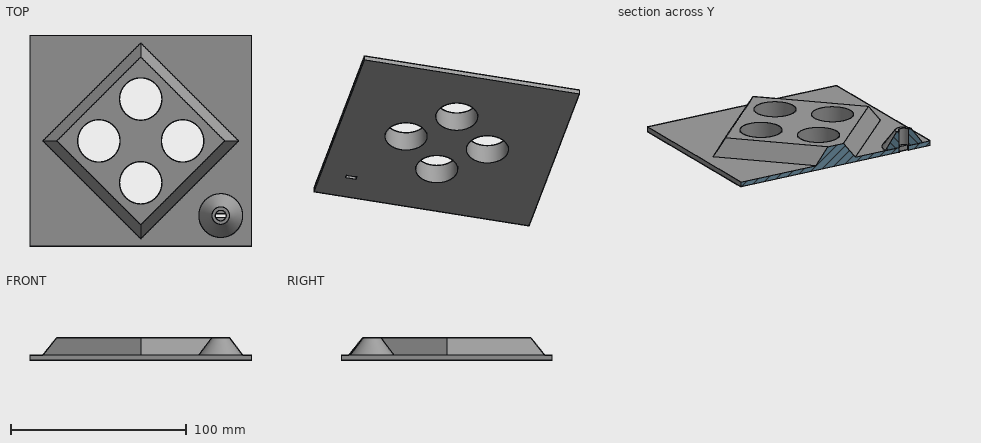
import cadquery as cq
import math

plate_length = 126.0
plate_width = 120.0
plate_thickness = 3.0

total_height = 13.0
raised_height = total_height - plate_thickness

block_base_half_diagonal = 55.7
block_top_half_diagonal = 47.8

large_hole_diameter = 24.0
large_hole_offset = 23.8
large_hole_count = 4

cone_x = 45.5
cone_y = -42.5
cone_base_diameter = 25.0
cone_top_diameter = 10.0
bore_diameter = 6.0
slot_length = bore_diameter
slot_width = 2.0


def make_plate():
    return cq.Workplane("XY").box(plate_length, plate_width, plate_thickness, centered=(True, True, False))


def make_tapered_block():
    base_side = block_base_half_diagonal * math.sqrt(2)
    top_side = block_top_half_diagonal * math.sqrt(2)
    block = (
        cq.Workplane("XY")
        .workplane(offset=plate_thickness)
        .rect(base_side, base_side)
        .workplane(offset=raised_height)
        .rect(top_side, top_side)
        .loft(ruled=True)
    )
    return block.rotate((0, 0, 0), (0, 0, 1), 45)


def make_large_holes():
    return (
        cq.Workplane("XY")
        .polarArray(large_hole_offset, 0, 360, large_hole_count)
        .circle(large_hole_diameter / 2)
        .extrude(total_height)
    )


def make_slot():
    return (
        cq.Workplane("XY")
        .center(cone_x, cone_y)
        .rect(slot_length, slot_width)
        .extrude(plate_thickness)
    )


def make_base():
    """Plate and tapered block in one piece, with the holes and the slot cut through."""
    return make_plate().union(make_tapered_block()).cut(make_large_holes()).cut(make_slot())


def make_hollow_cone():
    """Truncated cone resting on the plate, with a round bore through its full height."""
    bore_radius = bore_diameter / 2
    profile = (
        cq.Workplane("XZ")
        .moveTo(bore_radius, 0)
        .lineTo(cone_base_diameter / 2, 0)
        .lineTo(cone_top_diameter / 2, raised_height)
        .lineTo(bore_radius, raised_height)
        .close()
    )
    cone = profile.revolve(360, (0, 0, 0), (0, 1, 0))
    return cone.translate((cone_x, cone_y, plate_thickness))


base = make_base()
hollow_cone = make_hollow_cone()

result = cq.Compound.makeCompound([base.solids().val(), hollow_cone.val()])